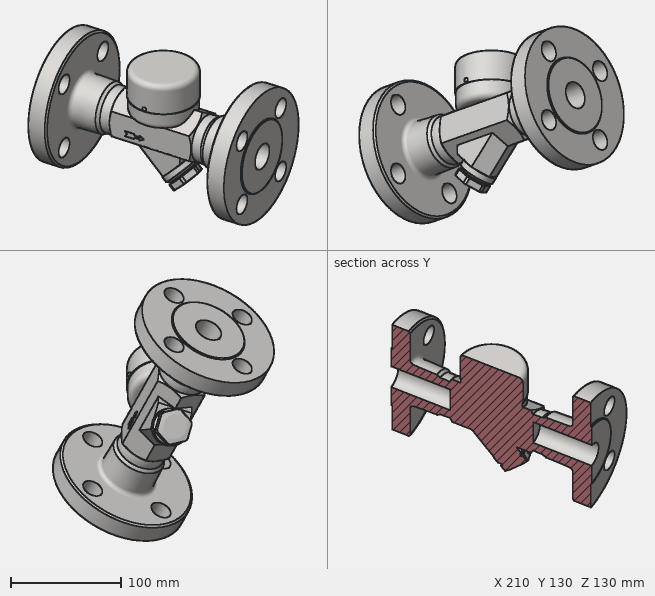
import cadquery as cq
import math

LENGTH = 210.0

FLANGE_D = 130.0
FLANGE_T = 20.0
FLANGE_CHAMFER = 1.5
FLANGE_CHAMFER_DROP = 2.0
FACE_D = 70.0
FACE_BASE_D = 72.0
FACE_H = 1.0
BOLT_CIRCLE_D = 95.0
BOLT_HOLE_D = 19.0
BOLT_COUNT = 4
BORE_D = 25.0

HUB_BASE_D = 51.6
HUB_END_D = 50.2
HUB_FILLET = 4.0
HUB_END_X = 57.0
PIPE_START_X = 53.5
PIPE_TAPER_X = 48.5
PIPE_D = 46.0
PIPE_END_D = 45.0

BODY_HALF_LENGTH = 43.7
BODY_AF = 46.0
BODY_CHAMFER = 2.5

CAP_D = 66.5
CAP_TOP_Z = 61.3
CAP_STEP_Z = 31.4
CAP_TOP_FILLET = 5.3
SEAT_D = 65.0
SEAT_BOTTOM_Z = 14.0
SEAT_FILLET = 5.8
PIN_D = 4.0
PIN_Z = 34.2
PIN_TIP_Y = 35.0

BRANCH_ANGLE = 45.0
BRANCH_ORIGIN_X = -24.0
BLOCK_START = 15.0
BLOCK_END = 54.3
BLOCK_WIDTH = 33.0
BLOCK_RIDGE = 16.4
BLOCK_SHOULDER = 7.0
BLOCK_UPPER = 26.0
BLOCK_LIMIT_X = 27.3
COLLAR_D = 34.0
COLLAR_H = 8.4
COLLAR_CHAMFER = 2.5
PLUG_START = 9.7
PLUG_END = 16.4
PLUG_AF = 30.0
PLUG_CORNER_D = 33.0
PLUG_TIP_D = 22.0
PLUG_TIP_H = 0.6

ARROW_TAIL_X = -26.6
ARROW_NOTCH = 2.0
ARROW_NECK_X = -17.2
ARROW_SHAFT_X = -16.0
ARROW_HEAD_X = -11.3
ARROW_TIP_X = -6.6
ARROW_Z = -5.5
ARROW_HALF_HEIGHT = 2.7
SHAFT_HALF_HEIGHT = 1.0
RELIEF = 0.5


def hex_corner_d(across_flats):
    return across_flats / math.cos(math.radians(30))


def flanged_neck():
    """Flange and stepped neck of the -X end, revolved about the X axis."""
    end_x = -LENGTH / 2
    back_x = end_x + FLANGE_T
    hub_r = HUB_BASE_D / 2
    fillet_mid = HUB_FILLET * (1 - math.sqrt(0.5))
    profile = (
        cq.Workplane("XY")
        .moveTo(end_x, 0)
        .lineTo(end_x, FACE_D / 2)
        .lineTo(end_x + FACE_H, FACE_BASE_D / 2)
        .lineTo(end_x + FACE_H, FLANGE_D / 2)
        .lineTo(back_x - FLANGE_CHAMFER, FLANGE_D / 2)
        .lineTo(back_x, FLANGE_D / 2 - FLANGE_CHAMFER_DROP)
        .lineTo(back_x, hub_r + HUB_FILLET)
        .threePointArc((back_x + fillet_mid, hub_r + fillet_mid), (back_x + HUB_FILLET, hub_r))
        .lineTo(-HUB_END_X, HUB_END_D / 2)
        .lineTo(-PIPE_START_X, PIPE_D / 2)
        .lineTo(-PIPE_TAPER_X, PIPE_D / 2)
        .lineTo(-BODY_HALF_LENGTH, PIPE_END_D / 2)
        .lineTo(-BODY_HALF_LENGTH, 0)
        .close()
    )
    return profile.revolve(360, (0, 0, 0), (1, 0, 0))


def end_holes():
    """Bolt holes and blind bore of the -X end."""
    face = cq.Workplane("YZ", origin=(-LENGTH / 2, 0, 0))
    bolts = (
        face.polarArray(BOLT_CIRCLE_D / 2, 180 / BOLT_COUNT, 360, BOLT_COUNT)
        .circle(BOLT_HOLE_D / 2)
        .extrude(FLANGE_T)
    )
    bore = face.circle(BORE_D / 2).extrude(LENGTH / 2 - BODY_HALF_LENGTH)
    return bolts.union(bore)


def hex_body():
    """Hexagonal bar along X with conically chamfered ends."""
    corner_r = hex_corner_d(BODY_AF) / 2
    bar = (
        cq.Workplane("YZ", origin=(-BODY_HALF_LENGTH, 0, 0))
        .polygon(6, 2 * corner_r)
        .extrude(2 * BODY_HALF_LENGTH)
        .rotate((0, 0, 0), (1, 0, 0), 90)
    )
    full_x = BODY_HALF_LENGTH - BODY_CHAMFER
    envelope = (
        cq.Workplane("XY")
        .moveTo(-BODY_HALF_LENGTH, 0)
        .lineTo(-BODY_HALF_LENGTH, PIPE_END_D / 2)
        .lineTo(-full_x, corner_r)
        .lineTo(full_x, corner_r)
        .lineTo(BODY_HALF_LENGTH, PIPE_END_D / 2)
        .lineTo(BODY_HALF_LENGTH, 0)
        .close()
        .revolve(360, (0, 0, 0), (1, 0, 0))
    )
    return bar.intersect(envelope)


def cap():
    """Round cap on its slightly narrower seat, with a small domed pin on each side."""
    upper = (
        cq.Workplane("XY", origin=(0, 0, CAP_STEP_Z))
        .circle(CAP_D / 2)
        .extrude(CAP_TOP_Z - CAP_STEP_Z)
        .faces(">Z").edges().fillet(CAP_TOP_FILLET)
    )
    seat = (
        cq.Workplane("XY", origin=(0, 0, SEAT_BOTTOM_Z))
        .circle(SEAT_D / 2)
        .extrude(CAP_STEP_Z - SEAT_BOTTOM_Z)
        .faces("<Z").edges().fillet(SEAT_FILLET)
    )
    shape = upper.union(seat)
    for side in (-1, 1):
        centre = (0, side * (PIN_TIP_Y - PIN_D / 2), PIN_Z)
        shape = shape.union(cq.Workplane("XY", origin=centre).sphere(PIN_D / 2))
    return shape


def branch_plane(distance):
    """Plane square to the branch axis; local X is +Y, local Y points up towards +X."""
    angle = math.radians(BRANCH_ANGLE)
    direction = (math.cos(angle), 0, -math.sin(angle))
    origin = (BRANCH_ORIGIN_X + distance * direction[0], 0, distance * direction[2])
    return cq.Workplane(cq.Plane(origin=origin, xDir=(0, 1, 0), normal=direction))


def strainer_block():
    """Ridged block of the branch, cut off by a plane square to X."""
    half_width = BLOCK_WIDTH / 2
    outline = [
        (0, -BLOCK_RIDGE),
        (half_width, -BLOCK_SHOULDER),
        (half_width, BLOCK_UPPER),
        (-half_width, BLOCK_UPPER),
        (-half_width, -BLOCK_SHOULDER),
    ]
    block = branch_plane(BLOCK_START).polyline(outline).close().extrude(BLOCK_END - BLOCK_START)
    beyond = cq.Workplane("XY", origin=(BLOCK_LIMIT_X, 0, 0)).box(
        LENGTH, LENGTH, LENGTH, centered=(False, True, True)
    )
    return block.cut(beyond)


def strainer_plug():
    """Chamfered collar, short neck and hexagonal plug head with a shallow conical tip."""
    collar = (
        branch_plane(BLOCK_END)
        .circle(COLLAR_D / 2)
        .extrude(COLLAR_H)
        .faces(cq.selectors.DirectionMinMaxSelector(branch_plane(0).plane.zDir, True))
        .edges().chamfer(COLLAR_CHAMFER)
    )
    neck = branch_plane(BLOCK_END).circle(COLLAR_D / 2 - COLLAR_CHAMFER).extrude(PLUG_START)
    head_base = branch_plane(BLOCK_END + PLUG_START)
    head_h = PLUG_END - PLUG_START
    hexagon = head_base.transformed(rotate=(0, 0, 90)).polygon(6, hex_corner_d(PLUG_AF)).extrude(head_h)
    head = hexagon.intersect(head_base.circle(PLUG_CORNER_D / 2).extrude(head_h))
    tip_plane = branch_plane(BLOCK_END + PLUG_END).plane
    tip = cq.Solid.makeCone(PLUG_AF / 2, PLUG_TIP_D / 2, PLUG_TIP_H, tip_plane.origin, tip_plane.zDir)
    return collar.union(neck).union(head).union(cq.Workplane(tip))


def flow_arrow():
    """Arrow towards +X, raised from the -Y flat of the body."""
    upper = [
        (ARROW_TAIL_X, ARROW_HALF_HEIGHT),
        (ARROW_NECK_X, ARROW_HALF_HEIGHT),
        (ARROW_SHAFT_X, SHAFT_HALF_HEIGHT),
        (ARROW_HEAD_X, SHAFT_HALF_HEIGHT),
        (ARROW_HEAD_X, ARROW_HALF_HEIGHT),
    ]
    lower = [(x, -z) for x, z in reversed(upper)]
    notch = (ARROW_TAIL_X + ARROW_NOTCH, 0)
    outline = upper + [(ARROW_TIP_X, 0)] + lower + [notch]
    flat = cq.Workplane("XZ", origin=(0, -BODY_AF / 2 + RELIEF, ARROW_Z))
    return flat.polyline(outline).close().extrude(2 * RELIEF)


neck = flanged_neck()
holes = end_holes()

result = hex_body().union(neck).union(neck.mirror("YZ"))
for feature in (cap(), strainer_block(), strainer_plug(), flow_arrow()):
    result = result.union(feature)
result = result.cut(holes).cut(holes.mirror("YZ"))